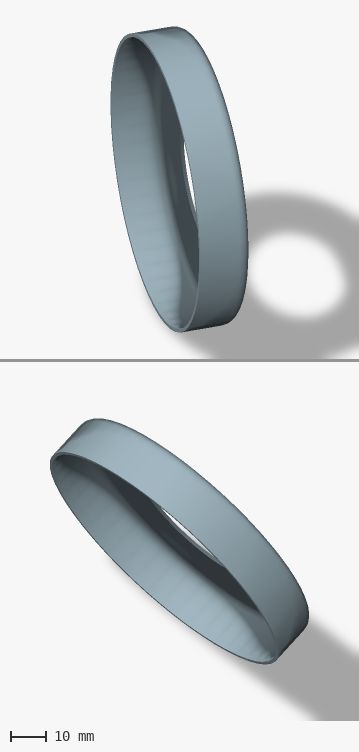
import cadquery as cq

outer_diameter = 85.0
depth = 15.0
wall = 1.0
hole_diameter = 43.0
outer_corner_radius = 3.0

outer_radius = outer_diameter / 2
hole_radius = hole_diameter / 2
inner_radius = outer_radius - wall
inner_corner_radius = outer_corner_radius - wall
floor_level = depth - wall
corner_start_radius = outer_radius - outer_corner_radius
corner_start_level = depth - outer_corner_radius


def cover_profile():
    """Half section of the cover: radius along X, depth along Y, open rim at Y = 0."""
    return (
        cq.Workplane("XY")
        .moveTo(inner_radius, 0)
        .lineTo(outer_radius, 0)
        .lineTo(outer_radius, corner_start_level)
        .radiusArc((corner_start_radius, depth), -outer_corner_radius)
        .lineTo(hole_radius, depth)
        .lineTo(hole_radius, floor_level)
        .lineTo(corner_start_radius, floor_level)
        .radiusArc((inner_radius, corner_start_level), inner_corner_radius)
        .close()
    )


result = cover_profile().revolve(360, (0, 0, 0), (0, 1, 0))